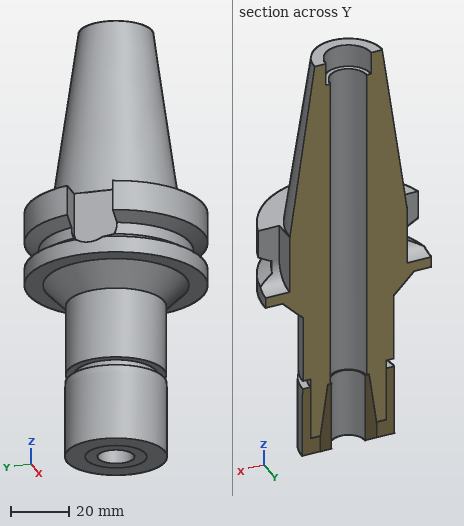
import cadquery as cq
import math

TOTAL_HEIGHT = 155.4

NUT_HEIGHT = 27.0
NUT_RADIUS = 17.5
NUT_COLLAR_HEIGHT = 2.3
NUT_COLLAR_TOP_RADIUS = 17.4
NUT_LIP_THICKNESS = 6.2

COLLET_HEAD_RADIUS = 10.5
COLLET_TIP_RADIUS = 7.8
COLLET_HALF_ANGLE = 8.0
COLLET_BORE_RADIUS = 6.4
COLLET_CONE_LENGTH = (COLLET_HEAD_RADIUS - COLLET_TIP_RADIUS) / math.tan(math.radians(COLLET_HALF_ANGLE))
COLLET_HEIGHT = NUT_LIP_THICKNESS + COLLET_CONE_LENGTH

NOSE_RADIUS = 14.5
SHANK_RADIUS = 17.2
SHANK_BOTTOM = NUT_HEIGHT + 3.0
SHANK_TOP = 55.3
SHOULDER_HEIGHT = 7.8
SHOULDER_RADIUS = SHANK_RADIUS + SHOULDER_HEIGHT

FLANGE_DIAMETER = 63.0
FLANGE_RADIUS = FLANGE_DIAMETER / 2
FLANGE_BOTTOM = SHANK_TOP + SHOULDER_HEIGHT
LOWER_RIM_HEIGHT = 5.7
GROOVE_RADIUS = 26.5
GROOVE_FLOOR_HEIGHT = 4.2
GROOVE_FLANK_HEIGHT = 2.8
FLANGE_TOP = 89.4
LOWER_RIM_TOP = FLANGE_BOTTOM + LOWER_RIM_HEIGHT
GROOVE_FLOOR_BOTTOM = LOWER_RIM_TOP + GROOVE_FLANK_HEIGHT
GROOVE_FLOOR_TOP = GROOVE_FLOOR_BOTTOM + GROOVE_FLOOR_HEIGHT
UPPER_RIM_BOTTOM = GROOVE_FLOOR_TOP + GROOVE_FLANK_HEIGHT

TAPER_BASE_RADIUS = 22.2
TAPER_BASE_HEIGHT = 0.8
TAPER_TOP_RADIUS = 12.9

COUNTERBORE_RADIUS = 8.5
COUNTERBORE_DEPTH = 8.5
DRAW_HOLE_RADIUS = 6.8

SLOT_WIDTH = 16.3
SLOT_FLOOR_OFFSET = 22.4
SLOT_BOTTOM = 67.3


def revolve_profile(points):
    """Turn a closed (radius, height) outline around the Z axis."""
    return cq.Workplane("XZ").polyline(points).close().revolve(360, (0, 0, 0), (0, 1, 0))


def drive_slot(side):
    """Round-bottomed slot cutter on the +X (side = 1) or -X (side = -1) flank of the flange."""
    half_width = SLOT_WIDTH / 2
    arc_height = SLOT_BOTTOM + half_width
    return (
        cq.Workplane("YZ", origin=(side * SLOT_FLOOR_OFFSET, 0, 0))
        .moveTo(-half_width, FLANGE_TOP)
        .lineTo(-half_width, arc_height)
        .threePointArc((0, SLOT_BOTTOM), (half_width, arc_height))
        .lineTo(half_width, FLANGE_TOP)
        .close()
        .extrude(side * FLANGE_RADIUS)
    )


def make_holder():
    """Taper, slotted flange, shank and nose, bored through for the collet and the draw bar."""
    counterbore_floor = TOTAL_HEIGHT - COUNTERBORE_DEPTH
    holder = revolve_profile([
        (NOSE_RADIUS, NUT_LIP_THICKNESS),
        (NOSE_RADIUS, SHANK_BOTTOM),
        (SHANK_RADIUS, SHANK_BOTTOM),
        (SHANK_RADIUS, SHANK_TOP),
        (SHOULDER_RADIUS, FLANGE_BOTTOM),
        (FLANGE_RADIUS, FLANGE_BOTTOM),
        (FLANGE_RADIUS, LOWER_RIM_TOP),
        (GROOVE_RADIUS, GROOVE_FLOOR_BOTTOM),
        (GROOVE_RADIUS, GROOVE_FLOOR_TOP),
        (FLANGE_RADIUS, UPPER_RIM_BOTTOM),
        (FLANGE_RADIUS, FLANGE_TOP),
        (TAPER_BASE_RADIUS, FLANGE_TOP),
        (TAPER_BASE_RADIUS, FLANGE_TOP + TAPER_BASE_HEIGHT),
        (TAPER_TOP_RADIUS, TOTAL_HEIGHT),
        (COUNTERBORE_RADIUS, TOTAL_HEIGHT),
        (COUNTERBORE_RADIUS, counterbore_floor),
        (DRAW_HOLE_RADIUS, counterbore_floor),
        (DRAW_HOLE_RADIUS, COLLET_HEIGHT),
        (COLLET_TIP_RADIUS, COLLET_HEIGHT),
        (COLLET_HEAD_RADIUS, NUT_LIP_THICKNESS),
    ])
    for side in (-1, 1):
        holder = holder.cut(drive_slot(side))
    return holder


def make_nut():
    """Cap nut around the nose, with a lip around the collet head."""
    return revolve_profile([
        (COLLET_HEAD_RADIUS, 0),
        (NUT_RADIUS, 0),
        (NUT_RADIUS, NUT_HEIGHT - NUT_COLLAR_HEIGHT),
        (NUT_COLLAR_TOP_RADIUS, NUT_HEIGHT),
        (NOSE_RADIUS, NUT_HEIGHT),
        (NOSE_RADIUS, NUT_LIP_THICKNESS),
        (COLLET_HEAD_RADIUS, NUT_LIP_THICKNESS),
    ])


def make_collet():
    """Conical clamping sleeve with a straight head and bore."""
    return revolve_profile([
        (COLLET_BORE_RADIUS, 0),
        (COLLET_HEAD_RADIUS, 0),
        (COLLET_HEAD_RADIUS, NUT_LIP_THICKNESS),
        (COLLET_TIP_RADIUS, COLLET_HEIGHT),
        (COLLET_BORE_RADIUS, COLLET_HEIGHT),
    ])


holder = make_holder()
nut = make_nut()
collet = make_collet()

result = cq.Compound.makeCompound([holder.val(), nut.val(), collet.val()])